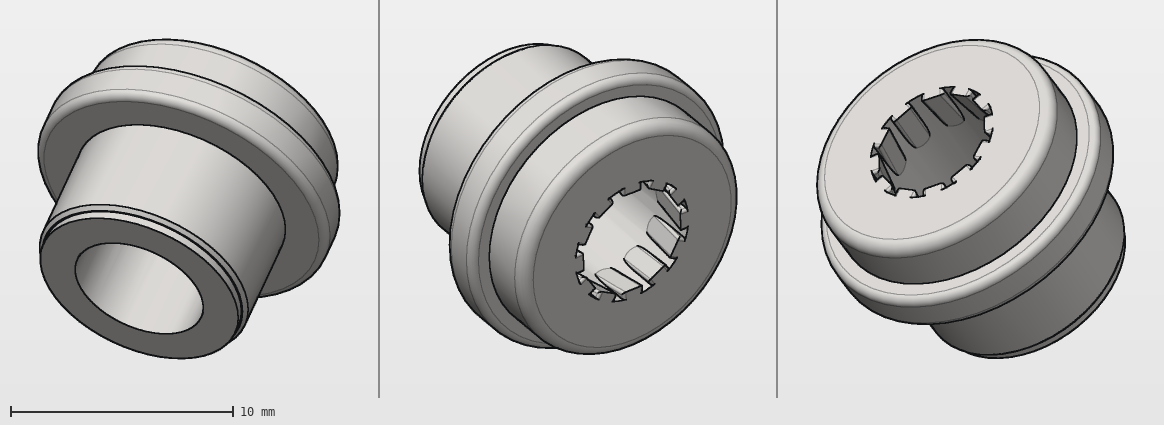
import cadquery as cq

flange_diameter = 14.0
flange_radius = flange_diameter / 2
hub_radius = 6.0
journal_radius = 5.01
tip_radius = 4.76
bore_radius = 3.08

total_length = 10.0
hub_length = 2.6
flange_width = 1.99
tip_length = 0.6
tip_chamfer = 0.2

hub_fillet = 0.6
flange_fillet = 0.39

tooth_count = 12
tooth_pitch_angle = 29.75
first_tooth_angle = 90.0
tooth_width = 1.09
tooth_inner_radius = 2.65
tooth_edge_fillet = 0.14
tooth_root_depth = 0.28

tip_face = -total_length / 2
rear_face = total_length / 2
flange_rear = rear_face - hub_length
flange_front = flange_rear - flange_width
chamfer_start = tip_face + tip_length


def disc(radius, start, end):
    """Cylinder about the Y axis between two Y positions."""
    return cq.Workplane("XZ", origin=(0, start, 0)).circle(radius).extrude(start - end)


def make_hub():
    return disc(hub_radius, flange_rear, rear_face).faces(">Y").edges().fillet(hub_fillet)


def make_flange():
    return disc(flange_radius, flange_front, flange_rear).edges().fillet(flange_fillet)


def make_journal():
    """Journal with a chamfered shoulder down to the narrower tip."""
    return (
        cq.Workplane("XY")
        .moveTo(0, tip_face)
        .lineTo(tip_radius, tip_face)
        .lineTo(tip_radius, chamfer_start - tip_chamfer)
        .lineTo(journal_radius - tip_chamfer, chamfer_start - tip_chamfer)
        .lineTo(journal_radius, chamfer_start)
        .lineTo(journal_radius, flange_front)
        .lineTo(0, flange_front)
        .close()
        .revolve(360, (0, 0, 0), (0, 1, 0))
    )


def make_tooth():
    """Wedge on the +X side that rises from the bore wall to the rear face, inner edges rounded."""
    root_radius = bore_radius + tooth_root_depth
    ramp_slope = (bore_radius - tooth_inner_radius) / hub_length
    root_start = flange_rear - tooth_root_depth / ramp_slope
    tooth = (
        cq.Workplane("XY")
        .moveTo(root_radius, root_start)
        .lineTo(tooth_inner_radius, rear_face)
        .lineTo(root_radius, rear_face)
        .close()
        .extrude(tooth_width / 2, both=True)
    )
    return tooth.faces("<X").edges("not |Z").fillet(tooth_edge_fillet)


body = make_hub().union(make_flange()).union(make_journal())
body = body.cut(disc(bore_radius, tip_face, rear_face))

tooth = make_tooth()
for index in range(tooth_count):
    angle = first_tooth_angle + index * tooth_pitch_angle
    body = body.union(tooth.rotate((0, 0, 0), (0, 1, 0), -angle))

result = body